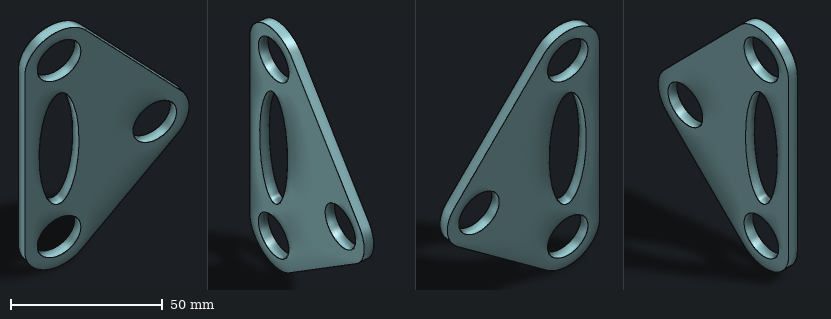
import cadquery as cq

length = 107.0
thickness = 4.0
corner_radius = 13.5

hole_diameter = 17.0
hole_spacing = length - 2 * corner_radius
apex_offset = 37.5
apex_height = 33.1

window_width = 15.6
window_height = 50.1

lower_corner = (0, -hole_spacing / 2)
upper_corner = (0, hole_spacing / 2)
apex_corner = (apex_offset, apex_height - hole_spacing / 2)
corners = [lower_corner, apex_corner, upper_corner]

plate = cq.Workplane("YZ").polyline(corners).close().offset2D(corner_radius, "arc").extrude(thickness)

holes = cq.Workplane("YZ").pushPoints(corners).circle(hole_diameter / 2).extrude(thickness)

window = cq.Workplane("YZ").ellipse(window_width / 2, window_height / 2).extrude(thickness)

result = plate.cut(holes).cut(window)